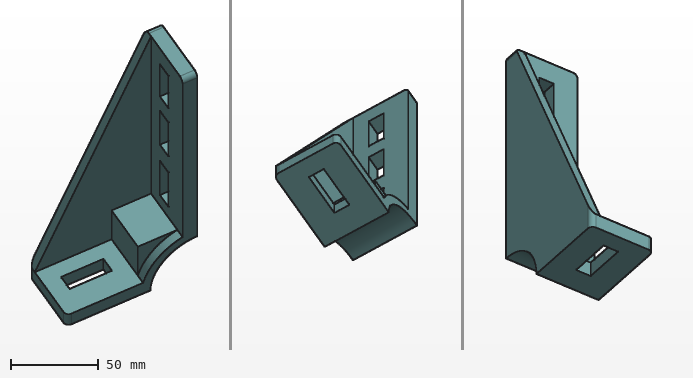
import cadquery as cq
import math

width = 43.0
depth = 85.5
height = 175.5

plate = 9.7
rib = 6.1
corner_radius = 3.3

relief_radius = 30.5
round_radius = relief_radius + rib
block = math.sqrt(round_radius**2 - plate**2)

slot_width = 10.0
wall_slots = [(45.0, 75.5), (89.9, 120.0), (132.9, 161.6)]
base_slot = (46.5, 74.0)


def box(x_range, y_range, z_range):
    """Box between limits on each axis; y is measured forward from the back face."""
    x0, x1 = x_range
    y0, y1 = y_range
    z0, z1 = z_range
    return cq.Workplane("XY").box(x1 - x0, y1 - y0, z1 - z0, centered=False).translate((x0, -y1, z0))


def cylinder_along_x(radius, x_start, length):
    """Cylinder around the X axis, where the back and bottom planes meet."""
    axis_start = cq.Vector(x_start, 0, 0)
    return cq.Workplane(obj=cq.Solid.makeCylinder(radius, length, axis_start, cq.Vector(1, 0, 0)))


def make_plates():
    """Upright wall and base plate with rounded free corners."""
    wall = box((0, width), (0, plate), (0, height)).edges("|Y and >Z").fillet(corner_radius)
    base = box((0, width), (0, depth), (0, plate)).edges("|Z and <Y").fillet(corner_radius)
    return wall.union(base)


def make_rib():
    """Sloping side rib, trimmed to the rounded corners of both plates."""
    profile = [(0, 0), (-depth, 0), (-depth, plate), (-plate, height), (0, height)]
    side = cq.Workplane("YZ").polyline(profile).close().extrude(rib)
    envelope = (
        box((0, width), (0, depth), (0, height))
        .edges("(|Y and >Z) or (|Z and <Y)")
        .fillet(corner_radius)
    )
    return side.intersect(envelope)


def make_corner():
    """Square corner block whose open end finishes in a quarter round concentric with the relief."""
    block_end = width - rib
    square = box((0, block_end), (0, block), (0, block))
    round_part = cylinder_along_x(round_radius, block_end, rib)
    quadrant = box((block_end, width), (0, block), (0, block))
    return square.union(round_part.intersect(quadrant))


def make_slots():
    """Rectangular slots centred across the width of both plates."""
    slot_x = ((width - slot_width) / 2, (width + slot_width) / 2)
    slots = box(slot_x, base_slot, (0, plate))
    for z_range in wall_slots:
        slots = slots.union(box(slot_x, (0, plate), z_range))
    return slots


relief = cylinder_along_x(relief_radius, 0, width)
bracket = make_plates().union(make_rib()).union(make_corner())
result = bracket.cut(make_slots()).cut(relief)